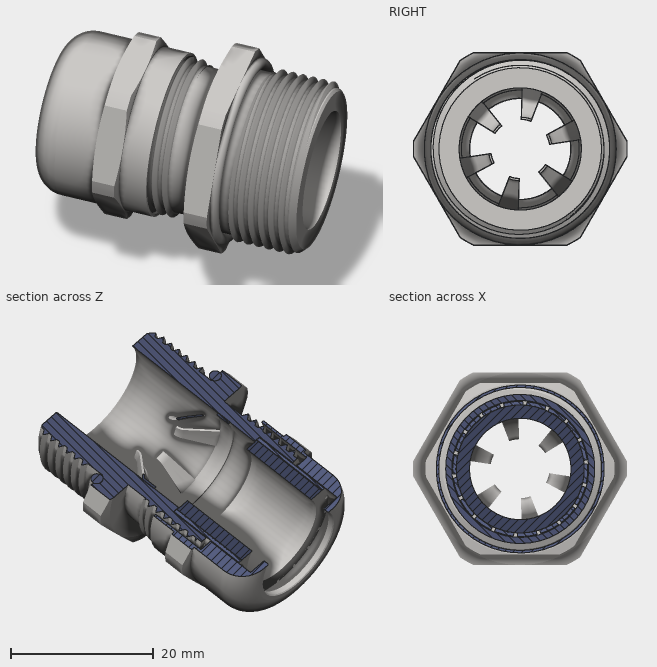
import cadquery as cq
import math


cap_end = 17.4
cap_diameter = 23.6
cap_round_radius = 3.85
mouth_diameter = 14.25
mouth_chamfer_diameter = 14.5
mouth_depth = 0.95
cavity_diameter = 19.12
cap_thread_bore = 22.8
cap_thread_bore_start = 8.67
cap_hex_start = 9.55
cap_hex_end = 13.5
cap_hex_flats = 24.0
cap_hex_corners = 26.5
hex_chamfer_angle = 15.0

body_start = 9.45
body_end = 39.43
neck_diameter = 20.98
flange_start = 23.58
flange_end = 27.4
flange_flats = 27.0
flange_corners = 30.0
entry_core_diameter = 23.45
entry_end_diameter = 22.8
claw_seat_end = 15.77
body_bore = 17.15

thread_pitch = 1.5
ridge_width = 1.03
ridge_embed = 0.1
trim_margin = 0.4
spare_turns = 1
neck_crest_diameter = 22.65
neck_thread_start = 10.25
neck_thread_end = 20.3
neck_crest_at_top = 17.85
entry_crest_diameter = 25.08
entry_thread_start = 29.7
entry_crest_at_top = 30.95

insert_start = 3.25
seal_bore = 14.15
seal_diameter = 18.0
claw_diameter = 19.0
claw_slot_count = 18
claw_slot_width = 0.47
claw_slot_end = 11.83
claw_slot_angle = -6.0

o_ring_inner_diameter = 23.6
o_ring_section = 1.65
o_ring_right = 28.4

contact_start = 20.5
contact_band_end = 22.85
contact_thickness = 0.3
finger_count = 6
finger_first_angle = 18.5
finger_spread = 19.5
finger_slope = 45.0
finger_tip_radius = 4.15
finger_bend_radius = 1.6


def turned(points):
    """Solid turned about X from a closed outline of (x, radius) points."""
    return cq.Workplane("XY").polyline(points).close().revolve(360, (0, 0, 0), (1, 0, 0))


def tube(start, end, outer_diameter, inner_diameter):
    """Straight tube about X."""
    outer = outer_diameter / 2
    inner = inner_diameter / 2
    return turned([(start, inner), (end, inner), (end, outer), (start, outer)])


def rod(start, end, diameter):
    """Straight cylinder about X."""
    return cq.Workplane("YZ").workplane(offset=start).circle(diameter / 2).extrude(end - start)


def hex_collar(start, end, flats, corners, chamfer_end):
    """Hexagon with flats at +Z and -Z, rounded corners and a cone on the start or on both ends."""
    prism = cq.Workplane("YZ").workplane(offset=start)
    prism = prism.polygon(6, flats / math.cos(math.pi / 6)).extrude(end - start)
    corner_radius = corners / 2
    face_radius = flats / 2
    cone_length = (corner_radius - face_radius) * math.tan(math.radians(hex_chamfer_angle))
    outline = [(start, 0), (start, face_radius), (start + cone_length, corner_radius)]
    if chamfer_end:
        outline += [(end - cone_length, corner_radius), (end, face_radius)]
    else:
        outline += [(end, corner_radius)]
    outline += [(end, 0)]
    return prism.intersect(turned(outline))


def thread_ridge(start, end, core_diameter, crest_diameter, crest_at_top):
    """Right-handed V ridge about X, cut square at start and end; one crest passes +Z at crest_at_top."""
    core_radius = core_diameter / 2
    root_radius = core_radius - ridge_embed
    height = crest_diameter / 2 - core_radius
    root_half_width = ridge_width / 2 * (height + ridge_embed) / height
    turns_before = math.ceil((crest_at_top - start) / thread_pitch) + spare_turns
    helix_start = crest_at_top - turns_before * thread_pitch
    turns = math.ceil((end - helix_start) / thread_pitch) + spare_turns
    helix = cq.Wire.makeHelix(thread_pitch, turns * thread_pitch, root_radius)
    profile = cq.Workplane("XZ").polyline(
        [(root_radius, -root_half_width), (crest_diameter / 2, 0), (root_radius, root_half_width)]
    ).close()
    ridge = profile.sweep(cq.Workplane(obj=helix), isFrenet=True)
    ridge = ridge.rotate((0, 0, 0), (0, 1, 0), 90).rotate((0, 0, 0), (1, 0, 0), 180)
    ridge = ridge.translate((helix_start, 0, 0))
    return ridge.intersect(rod(start, end, crest_diameter + trim_margin))


def make_cap_nut():
    cap = rod(0, cap_end, cap_diameter).faces("<X").edges().fillet(cap_round_radius)
    cap = cap.union(hex_collar(cap_hex_start, cap_hex_end, cap_hex_flats, cap_hex_corners, True))
    mouth_radius = mouth_diameter / 2
    chamfer_radius = mouth_chamfer_diameter / 2
    cap = cap.cut(turned([
        (0, 0), (0, chamfer_radius), (chamfer_radius - mouth_radius, mouth_radius),
        (mouth_depth, mouth_radius), (mouth_depth, 0),
    ]))
    cap = cap.cut(rod(mouth_depth, cap_thread_bore_start, cavity_diameter))
    return cap.cut(rod(cap_thread_bore_start, cap_end, cap_thread_bore))


def make_o_ring():
    section_radius = o_ring_section / 2
    ring_radius = o_ring_inner_diameter / 2 + section_radius
    section = cq.Workplane("XY").center(o_ring_right - section_radius, ring_radius).circle(section_radius)
    return section.revolve(360, (0, -ring_radius, 0), (1, -ring_radius, 0))


def make_body(o_ring):
    neck_radius = neck_diameter / 2
    core_radius = entry_core_diameter / 2
    end_radius = entry_end_diameter / 2
    body = turned([
        (body_start, 0), (body_start, neck_radius),
        (flange_start, neck_radius), (flange_start, core_radius),
        (body_end, core_radius), (body_end, 0),
    ])
    body = body.union(hex_collar(flange_start, flange_end, flange_flats, flange_corners, False))

    neck_ridge = thread_ridge(
        neck_thread_start, neck_thread_end, neck_diameter, neck_crest_diameter, neck_crest_at_top
    )
    body = body.union(neck_ridge)

    entry_ridge = thread_ridge(
        entry_thread_start, body_end, entry_core_diameter, entry_crest_diameter, entry_crest_at_top
    )
    body = body.union(entry_ridge)
    trim_radius = entry_crest_diameter / 2 + trim_margin
    trim_length = trim_radius - end_radius
    body = body.cut(turned([
        (body_end - trim_length, trim_radius), (body_end, end_radius),
        (body_end + thread_pitch, end_radius), (body_end + thread_pitch, trim_radius),
    ]))

    body = body.cut(rod(body_start, claw_seat_end, cavity_diameter))
    body = body.cut(rod(claw_seat_end, body_end, body_bore))
    return body.cut(o_ring)


def make_seal():
    return tube(insert_start, claw_seat_end, seal_diameter, seal_bore)


def make_claw():
    claw = tube(insert_start, claw_seat_end, claw_diameter, seal_diameter)
    slot_length = claw_slot_end - insert_start
    slot = cq.Workplane("XY").box(
        slot_length, claw_diameter, claw_slot_width, centered=(False, False, True)
    ).translate((insert_start, 0, 0))
    for index in range(claw_slot_count):
        angle = claw_slot_angle + index * 360 / claw_slot_count
        claw = claw.cut(slot.rotate((0, 0, 0), (1, 0, 0), angle))
    return claw


def make_contact_finger():
    """One finger along +Y: it slopes inward from the band and its tip bends parallel to X."""
    slope = math.radians(finger_slope)
    band_outer = body_bore / 2
    band_inner = band_outer - contact_thickness
    inner_arc = finger_bend_radius
    outer_arc = finger_bend_radius - contact_thickness
    arc_center_radius = finger_tip_radius + finger_bend_radius
    outer_arm_rise = band_outer - (arc_center_radius - outer_arc * math.cos(slope))
    tip_x = contact_band_end + outer_arm_rise / math.tan(slope) + outer_arc * math.sin(slope)

    def arc_point(arc_radius, angle):
        return (tip_x - arc_radius * math.sin(angle), arc_center_radius - arc_radius * math.cos(angle))

    sheet = (
        cq.Workplane("XY")
        .moveTo(contact_band_end - contact_thickness * math.tan(slope / 2), band_inner)
        .lineTo(*arc_point(inner_arc, slope))
        .threePointArc(arc_point(inner_arc, slope / 2), arc_point(inner_arc, 0))
        .lineTo(*arc_point(outer_arc, 0))
        .threePointArc(arc_point(outer_arc, slope / 2), arc_point(outer_arc, slope))
        .lineTo(contact_band_end, band_outer)
        .close()
    )
    finger = sheet.revolve(finger_spread, (0, 0, 0), (1, 0, 0))
    return finger.rotate((0, 0, 0), (1, 0, 0), -finger_spread / 2)


def make_contact_ring():
    ring = tube(contact_start, contact_band_end, body_bore, body_bore - 2 * contact_thickness)
    finger = make_contact_finger()
    for index in range(finger_count):
        angle = finger_first_angle + index * 360 / finger_count
        ring = ring.union(finger.rotate((0, 0, 0), (1, 0, 0), angle))
    return ring


cap_nut = make_cap_nut()
o_ring = make_o_ring()
body = make_body(o_ring)
seal = make_seal()
claw = make_claw()
contact_ring = make_contact_ring()

result = cq.Compound.makeCompound([
    *cap_nut.solids().vals(),
    *body.solids().vals(),
    *seal.solids().vals(),
    *claw.solids().vals(),
    *o_ring.solids().vals(),
    *contact_ring.solids().vals(),
])